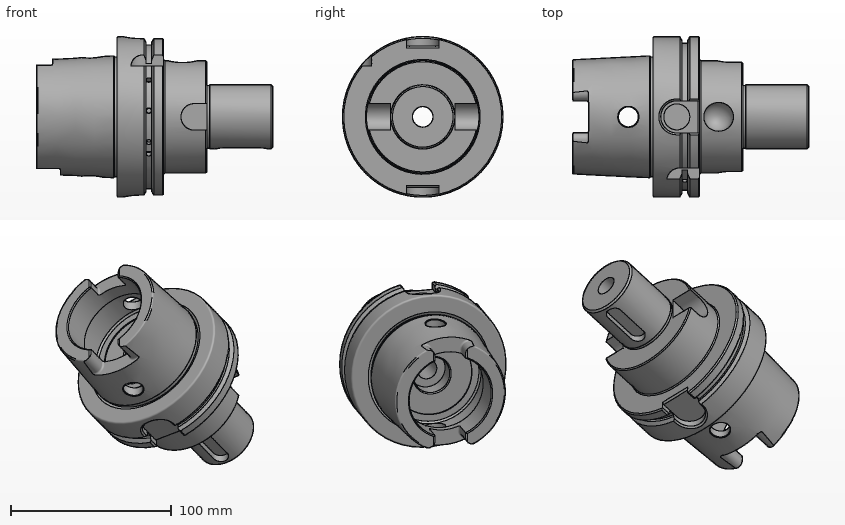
import cadquery as cq
import math


LENGTH = 147.0
RELIEF_START = 47.9
FLANGE_START = 50.0
FLANGE_END = 79.1
COLLAR_END = 105.8
NECK_END = 107.5

SHANK_MOUTH_RADIUS = 35.6
TAPER_SLOPE = 1 / 20
SHANK_EDGE = 0.9
RELIEF_RADIUS = 37.3
RELIEF_FACE_RADIUS = 39.2
RELIEF_FACE_DEPTH = 0.9

FLANGE_RADIUS = 50.0
FLANGE_FRONT_EDGE = 1.2
FLANGE_REAR_EDGE = 0.9
COLLAR_RADIUS = 35.0
COLLAR_ROOT = 0.7
COLLAR_EDGE = 0.7
NECK_RADIUS = 19.5
PILOT_RADIUS = 20.0
PILOT_START_EDGE = 0.3
PILOT_END_EDGE = 1.2

GROOVE_CENTER = 69.8
GROOVE_MOUTH_WIDTH = 6.3
GROOVE_FLOOR_WIDTH = 3.5
GROOVE_FLOOR_RADIUS = 45.9
GROOVE_LAND_RADIUS = 47.5

BORE_RADIUS = 26.5
BORE_EDGE = 0.7
UNDERCUT_START = 19.5
UNDERCUT_ANGLE = 60
UNDERCUT_RADIUS = 31.2
BORE_DEPTH = 42.3
BORE_FLOOR_CHAMFER = 1.2
FLOOR_STEP_RADIUS = 25.6
FLOOR_STEP_DEPTH = 0.7
RECESS_RADIUS = 11.6
RECESS_EDGE = 0.7
RECESS_DEPTH = 11.8
COOLANT_RADIUS = 6.3

MOUTH_SLOT_HALF_WIDTH = 9.8
MOUTH_SLOT_FLARE_RADIUS = 4.5
MOUTH_SLOT_SHOULDER = 32.2
MOUTH_SLOT_FLOOR_FILLET = 1.2
MOUTH_SLOT_LEAD_IN_WIDTH = 1.2
MOUTH_SLOT_LEAD_IN_DEPTH = 0.5
UPPER_MOUTH_SLOT_DEPTH = 10.0
LOWER_MOUTH_SLOT_DEPTH = 14.8

CROSS_HOLE_X = 34.7
CROSS_HOLE_RADIUS = 6.2
CROSS_HOLE_EDGE = 0.5

KEYWAY_CENTER = 64.8
KEYWAY_HALF_WIDTH = 10.0
KEYWAY_FLOOR = 44.0
KEYWAY_RIM_CHAMFER = 1.2
KEYWAY_END_CHAMFER = 1.2
CHIP_HOLE_RADIUS = 8.1
CHIP_HOLE_DEPTH = 4.4

NOTCH_OFFSET = 31.8
NOTCH_CORNER_X = 66.7
NOTCH_END_RADIUS = 8.2

GROOVE_HOLE_ANGLES = (30, 5, -20, -30)
GROOVE_HOLE_RADIUS = 1.6
GROOVE_HOLE_DEPTH = 4.4

DIMPLE_X = 90.8
DIMPLE_BALL_RADIUS = 9.4
DIMPLE_BALL_HEIGHT = 36.8
DRIVE_SLOT_HALF_WIDTH = 8.2
DRIVE_SLOT_START = 89.8
DRIVE_SLOT_FLOOR = 20.0
KEY_SEAT_START = 111.4
KEY_SEAT_END = 143.9
KEY_SEAT_HALF_WIDTH = 5.0
KEY_SEAT_DEPTH = 5.0


def ring(points):
    """Ring turned about X from a closed outline of (x, radius) points."""
    return cq.Workplane("XY").polyline(points).close().revolve(360, (0, 0, 0), (1, 0, 0))


def turned(points):
    """Solid of revolution about X from (x, radius) points, closed along the axis."""
    return ring([(points[0][0], 0)] + points + [(points[-1][0], 0)])


def span(x0, x1, y0, y1, z0, z1):
    """Box between pairs of coordinates."""
    return cq.Workplane("XY").box(x1 - x0, y1 - y0, z1 - z0, centered=False).translate((x0, y0, z0))


def bar(x, radius, z0, z1):
    """Round bar parallel to Z, centered on y = 0."""
    return cq.Workplane("XY", origin=(x, 0, z0)).circle(radius).extrude(z1 - z0)


def flip(solid):
    """Turn a solid half a turn about the X axis."""
    return solid.rotate((0, 0, 0), (1, 0, 0), 180)


def shank():
    """Taper with a rounded mouth edge and a cross hole chamfered at both rims."""
    taper_end_radius = SHANK_MOUTH_RADIUS + FLANGE_START * TAPER_SLOPE
    taper = turned([(0, SHANK_MOUTH_RADIUS), (FLANGE_START, taper_end_radius)])
    taper = taper.faces("<X").edges().fillet(SHANK_EDGE)
    taper = taper.cut(bar(CROSS_HOLE_X, CROSS_HOLE_RADIUS, -FLANGE_RADIUS, FLANGE_RADIUS))
    hole_zone = cq.selectors.BoxSelector(
        (CROSS_HOLE_X - CROSS_HOLE_RADIUS, -CROSS_HOLE_RADIUS, -FLANGE_RADIUS),
        (CROSS_HOLE_X + CROSS_HOLE_RADIUS, CROSS_HOLE_RADIUS, FLANGE_RADIUS),
    )
    hole_rims = taper.edges(hole_zone).edges("not |Z")
    return hole_rims.chamfer(CROSS_HOLE_EDGE)


def flange():
    """Plain flange with its rounded front edge and chamfered rear edge."""
    disc = turned([(FLANGE_START, FLANGE_RADIUS), (FLANGE_END, FLANGE_RADIUS)])
    disc = disc.faces("<X").edges().fillet(FLANGE_FRONT_EDGE)
    return disc.faces(">X").edges().chamfer(FLANGE_REAR_EDGE)


def collar_and_pilot():
    return turned([
        (FLANGE_START, COLLAR_RADIUS + COLLAR_ROOT),
        (FLANGE_END, COLLAR_RADIUS + COLLAR_ROOT),
        (FLANGE_END + COLLAR_ROOT, COLLAR_RADIUS),
        (COLLAR_END - COLLAR_EDGE, COLLAR_RADIUS),
        (COLLAR_END, COLLAR_RADIUS - COLLAR_EDGE),
        (COLLAR_END, NECK_RADIUS),
        (NECK_END, NECK_RADIUS),
        (NECK_END + PILOT_START_EDGE, PILOT_RADIUS),
        (LENGTH - PILOT_END_EDGE, PILOT_RADIUS),
        (LENGTH, PILOT_RADIUS - PILOT_END_EDGE),
    ])


def relief():
    """Undercut where the taper runs into the flange face."""
    outer = RELIEF_FACE_RADIUS
    taper_drop = SHANK_MOUTH_RADIUS + RELIEF_START * TAPER_SLOPE - RELIEF_RADIUS
    return ring([
        (RELIEF_START, RELIEF_RADIUS + taper_drop),
        (RELIEF_START + taper_drop, RELIEF_RADIUS),
        (FLANGE_START + RELIEF_FACE_DEPTH, RELIEF_RADIUS),
        (FLANGE_START, outer),
        (RELIEF_START, outer),
    ])


def gripper_groove():
    half_mouth = GROOVE_MOUTH_WIDTH / 2
    half_floor = GROOVE_FLOOR_WIDTH / 2
    return ring([
        (GROOVE_CENTER - half_mouth, FLANGE_RADIUS),
        (GROOVE_CENTER - half_floor, GROOVE_LAND_RADIUS),
        (GROOVE_CENTER - half_floor, GROOVE_FLOOR_RADIUS),
        (GROOVE_CENTER + half_floor, GROOVE_FLOOR_RADIUS),
        (GROOVE_CENTER + half_floor, GROOVE_LAND_RADIUS),
        (GROOVE_CENTER + half_mouth, FLANGE_RADIUS),
    ])


def inner_bore():
    undercut_rise = UNDERCUT_RADIUS - BORE_RADIUS
    undercut_run = undercut_rise / math.tan(math.radians(UNDERCUT_ANGLE))
    inner_floor = BORE_DEPTH + FLOOR_STEP_DEPTH
    recess_floor = inner_floor + RECESS_DEPTH
    return turned([
        (0, BORE_RADIUS + BORE_EDGE),
        (BORE_EDGE, BORE_RADIUS),
        (UNDERCUT_START, BORE_RADIUS),
        (UNDERCUT_START + undercut_run, UNDERCUT_RADIUS),
        (BORE_DEPTH - BORE_FLOOR_CHAMFER, UNDERCUT_RADIUS),
        (BORE_DEPTH, UNDERCUT_RADIUS - BORE_FLOOR_CHAMFER),
        (BORE_DEPTH, FLOOR_STEP_RADIUS),
        (inner_floor, FLOOR_STEP_RADIUS),
        (inner_floor, RECESS_RADIUS + RECESS_EDGE),
        (inner_floor + RECESS_EDGE, RECESS_RADIUS),
        (recess_floor, RECESS_RADIUS),
        (recess_floor, COOLANT_RADIUS),
        (LENGTH, COOLANT_RADIUS),
    ])


def mouth_slot(depth):
    """Slot across the upper side of the shank mouth, flaring out to flat shoulders."""
    half = MOUTH_SLOT_HALF_WIDTH
    flare = MOUTH_SLOT_FLARE_RADIUS
    shoulder = MOUTH_SLOT_SHOULDER
    flare_start = shoulder - flare
    arc_inset = flare * (1 - math.sqrt(0.5))
    reach = FLANGE_RADIUS
    slot = (
        cq.Workplane("YZ")
        .moveTo(-half, 0)
        .lineTo(half, 0)
        .lineTo(half, flare_start)
        .threePointArc((half + arc_inset, shoulder - arc_inset), (half + flare, shoulder))
        .lineTo(reach, shoulder)
        .lineTo(reach, reach)
        .lineTo(-reach, reach)
        .lineTo(-reach, shoulder)
        .lineTo(-half - flare, shoulder)
        .threePointArc((-half - arc_inset, shoulder - arc_inset), (-half, flare_start))
        .close()
        .extrude(depth)
        .faces(">X")
        .edges("not(<Z or >Z or <Y or >Y)")
        .fillet(MOUTH_SLOT_FLOOR_FILLET)
    )
    lead_in = (
        cq.Workplane("XY")
        .polyline([
            (0, -half - MOUTH_SLOT_LEAD_IN_WIDTH),
            (MOUTH_SLOT_LEAD_IN_DEPTH, -half),
            (MOUTH_SLOT_LEAD_IN_DEPTH, half),
            (0, half + MOUTH_SLOT_LEAD_IN_WIDTH),
        ])
        .close()
        .extrude(reach)
    )
    return slot.union(lead_in)


def cut_keyway(disc):
    """Cut the upper keyway in the plain flange, chamfering its rim and the open end of its floor."""
    round_end = bar(KEYWAY_CENTER, KEYWAY_HALF_WIDTH, KEYWAY_FLOOR, FLANGE_RADIUS)
    straight = span(
        KEYWAY_CENTER, FLANGE_END,
        -KEYWAY_HALF_WIDTH, KEYWAY_HALF_WIDTH,
        KEYWAY_FLOOR, FLANGE_RADIUS,
    )
    disc = disc.cut(round_end.union(straight))
    rim_side = KEYWAY_HALF_WIDTH + KEYWAY_RIM_CHAMFER
    rim_zone = cq.selectors.BoxSelector(
        (FLANGE_START + FLANGE_FRONT_EDGE, -rim_side, (KEYWAY_FLOOR + FLANGE_RADIUS) / 2),
        (FLANGE_END - FLANGE_REAR_EDGE, rim_side, FLANGE_RADIUS),
    )
    disc = disc.edges(rim_zone).chamfer(KEYWAY_RIM_CHAMFER)
    floor_end = cq.selectors.NearestToPointSelector((FLANGE_END, 0, KEYWAY_FLOOR))
    return disc.edges(floor_end).chamfer(KEYWAY_END_CHAMFER)


def chip_hole():
    """Blind round hole in the floor of the upper keyway."""
    return bar(KEYWAY_CENTER, CHIP_HOLE_RADIUS, KEYWAY_FLOOR - CHIP_HOLE_DEPTH, KEYWAY_FLOOR)


def orientation_notch():
    """Square notch in the -Y, +Z quarter of the flange with a rounded inner end."""
    corner = NOTCH_CORNER_X
    radius = NOTCH_END_RADIUS
    arc_inset = radius * (1 - math.sqrt(0.5))
    return (
        cq.Workplane("XY", origin=(0, 0, NOTCH_OFFSET))
        .moveTo(FLANGE_END, -NOTCH_OFFSET)
        .lineTo(corner, -NOTCH_OFFSET)
        .threePointArc(
            (corner - radius + arc_inset, -NOTCH_OFFSET - arc_inset),
            (corner - radius, -NOTCH_OFFSET - radius),
        )
        .lineTo(corner - radius, -FLANGE_RADIUS)
        .lineTo(FLANGE_END, -FLANGE_RADIUS)
        .close()
        .extrude(FLANGE_RADIUS)
    )


def groove_hole(angle):
    """Radial hole in the groove floor, at an angle in degrees from -Y toward +Z."""
    bottom = GROOVE_FLOOR_RADIUS - GROOVE_HOLE_DEPTH
    hole = bar(GROOVE_CENTER, GROOVE_HOLE_RADIUS, bottom, GROOVE_LAND_RADIUS)
    return hole.rotate((0, 0, 0), (1, 0, 0), 90 - angle)


def dimple():
    """Ball-shaped hollow in the top of the collar."""
    return cq.Workplane("XY", origin=(DIMPLE_X, 0, DIMPLE_BALL_HEIGHT)).sphere(DIMPLE_BALL_RADIUS)


def drive_slot():
    """Slot in the -Y side of the collar, round at its inner end and open toward the pilot."""
    center = DRIVE_SLOT_START + DRIVE_SLOT_HALF_WIDTH
    round_end = bar(center, DRIVE_SLOT_HALF_WIDTH, DRIVE_SLOT_FLOOR, FLANGE_RADIUS)
    straight = span(
        center, COLLAR_END,
        -DRIVE_SLOT_HALF_WIDTH, DRIVE_SLOT_HALF_WIDTH,
        DRIVE_SLOT_FLOOR, FLANGE_RADIUS,
    )
    return round_end.union(straight).rotate((0, 0, 0), (1, 0, 0), 90)


def key_seat():
    """Round-ended key seat in the underside of the pilot."""
    return (
        cq.Workplane("XY", origin=((KEY_SEAT_START + KEY_SEAT_END) / 2, 0, -PILOT_RADIUS))
        .slot2D(KEY_SEAT_END - KEY_SEAT_START, 2 * KEY_SEAT_HALF_WIDTH)
        .extrude(KEY_SEAT_DEPTH)
    )


grooved_flange = flip(cut_keyway(flip(cut_keyway(flange())))).cut(gripper_groove())

result = shank().union(grooved_flange).union(collar_and_pilot())
result = result.cut(relief()).cut(inner_bore())

result = result.cut(mouth_slot(UPPER_MOUTH_SLOT_DEPTH))
result = result.cut(flip(mouth_slot(LOWER_MOUTH_SLOT_DEPTH)))

result = result.cut(chip_hole())
result = result.cut(orientation_notch())
for hole_angle in GROOVE_HOLE_ANGLES:
    result = result.cut(groove_hole(hole_angle))

result = result.cut(dimple())
result = result.cut(drive_slot()).cut(flip(drive_slot()))
result = result.cut(key_seat())